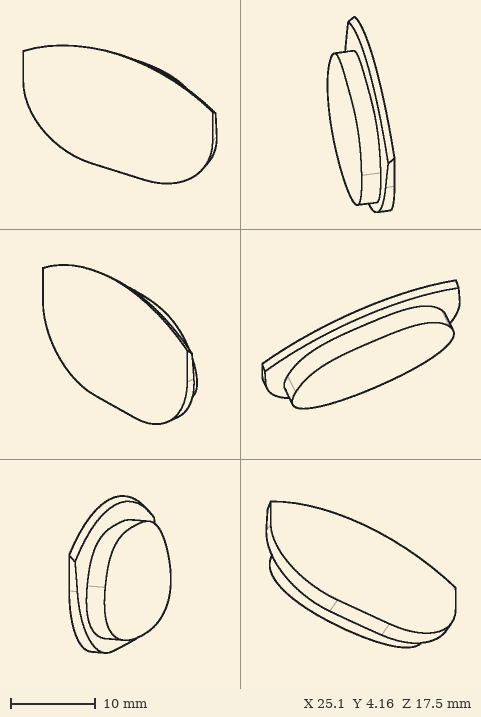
import cadquery as cq
import math

width = 25.1
height = 17.45
half_width = width / 2
corner_radius = 9.05
flat_half = half_width - corner_radius
crown_radius = 21.6
crown_offset = -0.15
crown_edge_depth = 3.0
crown_bevel_drop = 2.3
crown_center_z = height - crown_radius

dome_radius = 185.81
flange_dome_y = 1.95
boss_rise = 2.29

boss_top_z = 14.6
boss_bottom_z = 1.35
boss_shoulder_z = 9.2
boss_shoulder_x = 9.97
boss_shoulder_angle = 69.0

overall_depth = flange_dome_y + boss_rise


def dome_ball(top_y):
    """Large ball whose rearmost point reaches top_y on the crown axis."""
    center = (crown_offset, top_y - dome_radius, crown_center_z)
    return cq.Workplane("XY").sphere(dome_radius).translate(center)


def plate(outline):
    """Extrude an outline drawn in X and Z towards +Y, deep enough for its dome."""
    return outline.extrude(-overall_depth)


def crown_cone():
    """Bevelled crown: a cone narrowing towards the back."""
    bevel_slope = crown_bevel_drop / crown_edge_depth
    back_radius = crown_radius - bevel_slope * overall_depth
    cone = cq.Solid.makeCone(
        crown_radius,
        back_radius,
        overall_depth,
        pnt=cq.Vector(crown_offset, 0, crown_center_z),
        dir=cq.Vector(0, 1, 0),
    )
    return cq.Workplane("XY").newObject([cone])


def make_flange():
    corner_mid = corner_radius * math.sqrt(0.5)
    mid_x = flat_half + corner_mid
    mid_z = corner_radius - corner_mid
    outline = (
        cq.Workplane("XZ")
        .moveTo(-flat_half, 0)
        .lineTo(flat_half, 0)
        .threePointArc((mid_x, mid_z), (half_width, corner_radius))
        .lineTo(half_width, height)
        .lineTo(-half_width, height)
        .lineTo(-half_width, corner_radius)
        .threePointArc((-mid_x, mid_z), (-flat_half, 0))
        .close()
    )
    return plate(outline).intersect(crown_cone()).intersect(dome_ball(flange_dome_y))


def make_boss():
    left = (crown_offset - boss_shoulder_x, boss_shoulder_z)
    right = (crown_offset + boss_shoulder_x, boss_shoulder_z)
    top = (crown_offset, boss_top_z)
    bottom = (crown_offset, boss_bottom_z)

    run = math.cos(math.radians(boss_shoulder_angle))
    fall = math.sin(math.radians(boss_shoulder_angle))
    left_rising = (run, fall)
    right_falling = (run, -fall)
    left_to_right = [left_rising, right_falling]
    right_to_left = [right_falling, left_rising]
    outline = (
        cq.Workplane("XZ")
        .moveTo(*left)
        .spline([top, right], tangents=left_to_right, includeCurrent=True)
        .spline([bottom, left], tangents=right_to_left, includeCurrent=True)
        .close()
    )
    return plate(outline).intersect(dome_ball(overall_depth))


result = make_flange().union(make_boss())